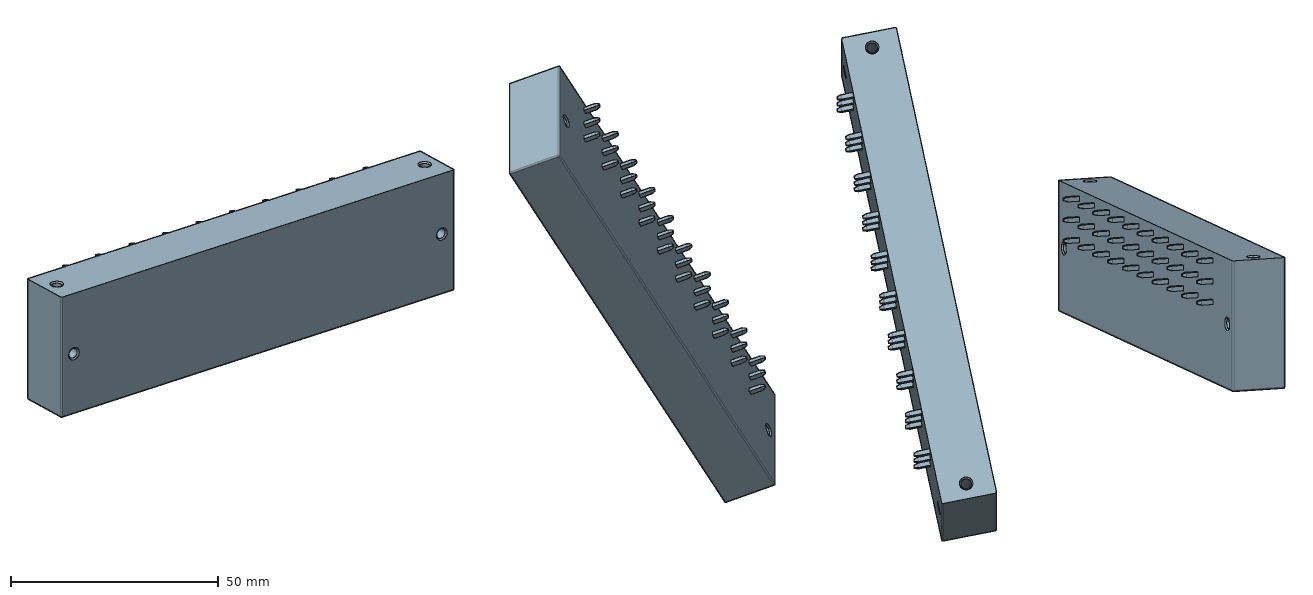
import cadquery as cq

LENGTH = 119.4
HEIGHT = 32.0
OVERALL_WIDTH = 17.4
PIN_LENGTH = 3.9
WIDTH = OVERALL_WIDTH - PIN_LENGTH
EDGE_RADIUS = 0.4

HOLE_END_DISTANCE = 3.8
HOLE_DIAMETER = 2.5
HOLE_CHAMFER = 0.4
HOLE_Y = LENGTH / 2 - HOLE_END_DISTANCE
CROSS_HOLE_Z = -HEIGHT / 2

PIN_COLUMNS = 10
PIN_ROWS = 3
COLUMN_PITCH = 10.1
ROW_PITCH = COLUMN_PITCH / 2
PIN_SIZE = 1.13
PIN_TIP_SIZE = 0.6
PIN_TIP_LENGTH = 1.0
TOP_ROW_DEPTH = 2.1
PIN_ROOT = 1.2


def make_block():
    """Block with its top face at Z = 0; every edge but the top rim is rounded."""
    block = cq.Workplane("XY").box(WIDTH, LENGTH, HEIGHT).translate((0, 0, -HEIGHT / 2))
    return block.edges("|Z or <Z").fillet(EDGE_RADIUS)


def make_hole(depth):
    """Cutter for a hole sunk to -Z from the origin, with a chamfered mouth."""
    radius = HOLE_DIAMETER / 2
    profile = [
        (0, 0),
        (radius + HOLE_CHAMFER, 0),
        (radius, -HOLE_CHAMFER),
        (radius, -depth),
        (0, -depth),
    ]
    return cq.Workplane("XZ").polyline(profile).close().revolve(360, (0, 0), (0, 1))


def make_pin():
    """Square pin pointing to -X from the origin, with a tapered tip."""
    shank_length = PIN_LENGTH - PIN_TIP_LENGTH
    shank = (
        cq.Workplane("YZ", origin=(-shank_length, 0, 0))
        .rect(PIN_SIZE, PIN_SIZE)
        .extrude(shank_length + PIN_ROOT)
    )
    tip = (
        cq.Workplane("YZ", origin=(-PIN_LENGTH, 0, 0))
        .rect(PIN_TIP_SIZE, PIN_TIP_SIZE)
        .workplane(offset=PIN_TIP_LENGTH)
        .rect(PIN_SIZE, PIN_SIZE)
        .loft()
    )
    return shank.union(tip)


result = make_block()

top_hole = make_hole(-CROSS_HOLE_Z)
half_cross_hole = make_hole(WIDTH / 2)
for hole_y in (-HOLE_Y, HOLE_Y):
    result = result.cut(top_hole.translate((0, hole_y, 0)))
    for turn, face_x in ((-90, -WIDTH / 2), (90, WIDTH / 2)):
        side_hole = half_cross_hole.rotate((0, 0, 0), (0, 1, 0), turn)
        result = result.cut(side_hole.translate((face_x, hole_y, CROSS_HOLE_Z)))

pin = make_pin()
for column in range(PIN_COLUMNS):
    pin_y = (column - (PIN_COLUMNS - 1) / 2) * COLUMN_PITCH
    for row in range(PIN_ROWS):
        pin_z = -TOP_ROW_DEPTH - row * ROW_PITCH
        result = result.union(pin.translate((-WIDTH / 2, pin_y, pin_z)))